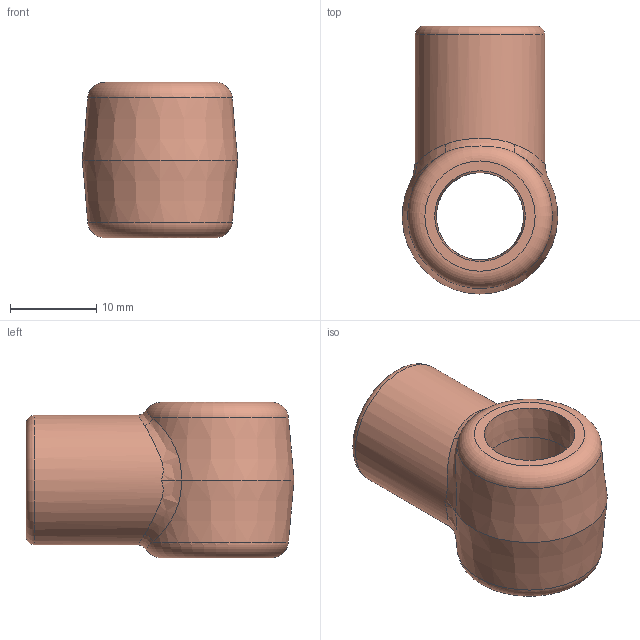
import cadquery as cq
import math

head_height = 18.0
head_mid_radius = 9.0
head_draft = math.radians(5.0)
head_edge_round = 2.0

bore_diameter = 10.1
bore_mouth_diameter = 10.5
bore_mouth_depth = 4.0

shank_diameter = 15.0
shank_end_y = 22.0
shank_end_round = 1.0

blend_radius_ends = 1.0
blend_radius_flanks = 5.0

half_height = head_height / 2
head_end_radius = head_mid_radius - half_height * math.tan(head_draft)
shank_radius = shank_diameter / 2
tolerance = 1e-3


def make_head():
    """Double-tapered barrel with rounded end rims."""
    barrel = (
        cq.Workplane("XZ")
        .moveTo(0, -half_height)
        .lineTo(head_end_radius, -half_height)
        .lineTo(head_mid_radius, 0)
        .lineTo(head_end_radius, half_height)
        .lineTo(0, half_height)
        .close()
        .revolve(360, (0, 0, 0), (0, 1, 0))
    )
    return barrel.faces("<Z or >Z").edges().fillet(head_edge_round)


def make_shank():
    """Round bar from the head axis to the free end, with a rounded end rim."""
    bar = cq.Workplane("XZ").circle(shank_radius).extrude(-shank_end_y)
    return bar.faces(">Y").edges().fillet(shank_end_round)


def make_upper_space():
    """Block that holds everything of the part with z >= 0."""
    width = 2 * head_mid_radius
    length = 2 * shank_end_y
    return cq.Workplane("XY").box(width, length, half_height, centered=(True, True, False))


def is_joint_edge(edge):
    """True for an edge where the shank surface meets the head surface."""
    on_shank = all(
        abs(math.hypot(point.x, point.z) - shank_radius) < tolerance
        for point in edge.positions([0, 0.5, 1])
    )
    return on_shank and edge.Center().y < head_mid_radius


def blend_radius_at(point):
    """Blend radius at an end of a joint edge: wide on the flank at z = 0, tight elsewhere."""
    if abs(point.z) < tolerance:
        return blend_radius_flanks
    return blend_radius_ends


def blend_joint(half):
    """Fillet the joint edges with a radius that varies along them."""
    solid = half.solids().val()
    builder = cq.occ_impl.shapes.BRepFilletAPI_MakeFillet(solid.wrapped)
    for edge in filter(is_joint_edge, solid.Edges()):
        start_radius = blend_radius_at(edge.startPoint())
        end_radius = blend_radius_at(edge.endPoint())
        builder.Add(start_radius, end_radius, edge.wrapped)
    builder.Build()
    return cq.Workplane(cq.Shape.cast(builder.Shape()))


def make_body():
    """Head and shank joined: the blended upper half mirrored across z = 0."""
    upper_space = make_upper_space()
    half = make_head().intersect(upper_space).union(make_shank().intersect(upper_space))
    half = blend_joint(half)
    return half.union(half.mirror("XY"))


def make_bore():
    """Straight through hole with a tapered mouth at the top face."""
    hole_radius = bore_diameter / 2
    return (
        cq.Workplane("XZ")
        .moveTo(0, -half_height)
        .lineTo(hole_radius, -half_height)
        .lineTo(hole_radius, half_height - bore_mouth_depth)
        .lineTo(bore_mouth_diameter / 2, half_height)
        .lineTo(0, half_height)
        .close()
        .revolve(360, (0, 0, 0), (0, 1, 0))
    )


result = make_body().cut(make_bore())